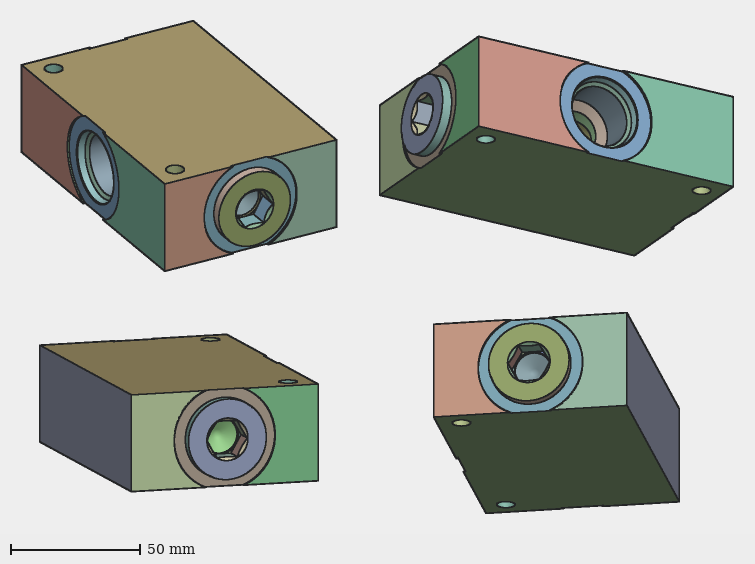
import cadquery as cq
import math

OVERALL_LENGTH = 120.7
BLOCK_LENGTH = 114.3
BLOCK_WIDTH = 76.2
BLOCK_HEIGHT = 38.1

MOUNT_HOLE_DIA = 7.1
MOUNT_HOLE_SPACING = 96.8
MOUNT_HOLE_INSET = 9.4

SPOTFACE_DIA = 41.2
SPOTFACE_DEPTH = 0.8

PORT_MOUTH_DIA = 29.7
PORT_SEAT_TOP_DIA = 29.1
PORT_SEAT_TOP_DEPTH = 0.4
PORT_SEAT_BOTTOM_DIA = 27.6
PORT_SEAT_BOTTOM_DEPTH = 3.3
PORT_BORE_DIA = 24.7
PORT_BORE_START = 4.5
PORT_BORE_END = 19.3
PASSAGE_DIA = 17.0
DRILL_POINT_ANGLE = 118.0

CROSS_BORE_DIA = 24.0

HEAD_DIA = 31.7
SHANK_DIA = 26.9
SHANK_LENGTH = 14.5
HEX_SIDES = 6
HEX_ACROSS_FLATS = 14.2
HEX_DEPTH = 8.3
DRILL_DEPTH = 9.8
SOCKET_CHAMFER_DIA = 16.8
SOCKET_CHAMFER_ANGLE = 45.0

HEAD_LENGTH = (OVERALL_LENGTH - BLOCK_LENGTH) / 2 + SPOTFACE_DEPTH
SEAT_X = BLOCK_LENGTH / 2 - SPOTFACE_DEPTH
FRONT_SEAT_Y = -BLOCK_WIDTH / 2 + SPOTFACE_DEPTH
HALF_POINT_TAN = math.tan(math.radians(DRILL_POINT_ANGLE / 2))
SIDES = (-1, 1)


def port_cutter():
    """Front port: sealing seat, thread lead-in, bore, and passage to the cross bore axis."""
    passage_depth = PORT_BORE_END + (PORT_BORE_DIA - PASSAGE_DIA) / 2 / HALF_POINT_TAN
    outline = (
        cq.Workplane("XY", origin=(0, FRONT_SEAT_Y, 0))
        .moveTo(0, 0)
        .lineTo(PORT_MOUTH_DIA / 2, 0)
        .lineTo(PORT_SEAT_TOP_DIA / 2, PORT_SEAT_TOP_DEPTH)
        .lineTo(PORT_SEAT_BOTTOM_DIA / 2, PORT_SEAT_BOTTOM_DEPTH)
        .lineTo(PORT_BORE_DIA / 2, PORT_BORE_START)
        .lineTo(PORT_BORE_DIA / 2, PORT_BORE_END)
        .lineTo(PASSAGE_DIA / 2, passage_depth)
        .lineTo(PASSAGE_DIA / 2, -FRONT_SEAT_Y)
        .lineTo(0, -FRONT_SEAT_Y)
        .close()
    )
    return outline.revolve(360, (0, 0, 0), (0, 1, 0))


def make_block():
    """Rectangular housing with mounting holes, spotfaces, front port, cross bore and plug holes."""
    block = cq.Workplane("XY").box(BLOCK_LENGTH, BLOCK_WIDTH, BLOCK_HEIGHT)

    hole_y = -BLOCK_WIDTH / 2 + MOUNT_HOLE_INSET
    hole_points = [(side * MOUNT_HOLE_SPACING / 2, hole_y) for side in SIDES]
    block = block.faces(">Z").workplane(origin=(0, 0, 0)).pushPoints(hole_points).hole(MOUNT_HOLE_DIA)

    front_spotface = cq.Workplane("XZ", origin=(0, FRONT_SEAT_Y, 0)).circle(SPOTFACE_DIA / 2)
    block = block.cut(front_spotface.extrude(SPOTFACE_DEPTH))
    block = block.cut(port_cutter())

    cross_bore = cq.Workplane("YZ").circle(CROSS_BORE_DIA / 2).extrude(SEAT_X, both=True)
    block = block.cut(cross_bore)

    for side in SIDES:
        seat = cq.Workplane("YZ", origin=(side * SEAT_X, 0, 0))
        block = block.cut(seat.circle(SPOTFACE_DIA / 2).extrude(side * SPOTFACE_DEPTH))
        block = block.cut(seat.circle(SHANK_DIA / 2).extrude(-side * SHANK_LENGTH))
    return block


def make_plug(side):
    """Hex socket plug seated on the left (side -1) or right (side 1) spotface."""
    seat = cq.Workplane("YZ", origin=(side * SEAT_X, 0, 0))
    face = cq.Workplane("YZ", origin=(side * OVERALL_LENGTH / 2, 0, 0))
    plug = seat.circle(HEAD_DIA / 2).extrude(side * HEAD_LENGTH)
    plug = plug.union(seat.circle(SHANK_DIA / 2).extrude(-side * SHANK_LENGTH))

    hex_across_corners = HEX_ACROSS_FLATS / math.cos(math.pi / HEX_SIDES)
    plug = plug.cut(face.polygon(HEX_SIDES, hex_across_corners).extrude(-side * HEX_DEPTH))

    inward = cq.Vector(-side, 0, 0)
    chamfer_radius = SOCKET_CHAMFER_DIA / 2
    chamfer_height = chamfer_radius / math.tan(math.radians(SOCKET_CHAMFER_ANGLE))
    face_center = cq.Vector(side * OVERALL_LENGTH / 2, 0, 0)
    plug = plug.cut(cq.Workplane(cq.Solid.makeCone(chamfer_radius, 0, chamfer_height, face_center, inward)))

    drill_radius = HEX_ACROSS_FLATS / 2
    plug = plug.cut(face.circle(drill_radius).extrude(-side * DRILL_DEPTH))
    point_height = drill_radius / HALF_POINT_TAN
    point_base = face_center + inward * DRILL_DEPTH
    return plug.cut(cq.Workplane(cq.Solid.makeCone(drill_radius, 0, point_height, point_base, inward)))


block = make_block()
plugs = [make_plug(side) for side in SIDES]
result = cq.Compound.makeCompound([block.val(), *[plug.val() for plug in plugs]])